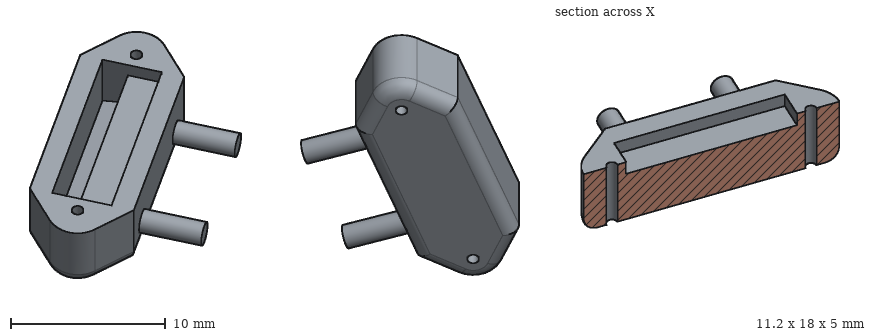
import cadquery as cq
import math

housing_length = 18.0
housing_width = 7.0
housing_height = 5.0
shoulder_length = 12.0
end_radius = 2.0
base_edge_radius = 1.0
screw_hole_diameter = 0.75

pocket_width = 4.0
pocket_length = shoulder_length
ledge_depth = 1.0
ledge_edge_x = -0.29
floor_thickness = 1.0
floor_slope = 10.8

pin_diameter = 1.58
pin_length = 4.18
pin_spacing = 8.0
pin_axis_z = 1.8

end_centre_y = housing_length / 2 - end_radius
half_width = housing_width / 2
half_shoulder = shoulder_length / 2


def taper_normal_angle():
    """Angle from +Y to the normal of a tapered side running from a shoulder tangent to the end arc."""
    centre_to_shoulder = math.hypot(half_width, half_shoulder - end_centre_y)
    shoulder_angle = math.atan2(half_width, half_shoulder - end_centre_y)
    return shoulder_angle - math.acos(end_radius / centre_to_shoulder)


def housing_outline():
    """Straight sides joined to round tips by tapers that meet each end arc tangentially."""
    normal_angle = taper_normal_angle()
    tangent_x = end_radius * math.sin(normal_angle)
    tangent_y = end_centre_y + end_radius * math.cos(normal_angle)
    return (
        cq.Workplane("XY")
        .moveTo(half_width, -half_shoulder)
        .lineTo(half_width, half_shoulder)
        .lineTo(tangent_x, tangent_y)
        .threePointArc((0, housing_length / 2), (-tangent_x, tangent_y))
        .lineTo(-half_width, half_shoulder)
        .lineTo(-half_width, -half_shoulder)
        .lineTo(-tangent_x, -tangent_y)
        .threePointArc((0, -housing_length / 2), (tangent_x, -tangent_y))
        .close()
    )


def pocket_space():
    """Space of the stepped pocket: its XZ section drawn out along Y."""
    wall_x = pocket_width / 2
    ledge_z = housing_height - ledge_depth
    floor_rise = (ledge_edge_x + wall_x) * math.tan(math.radians(floor_slope))
    return (
        cq.Workplane("XZ")
        .moveTo(-wall_x, housing_height)
        .lineTo(-wall_x, floor_thickness)
        .lineTo(ledge_edge_x, floor_thickness + floor_rise)
        .lineTo(ledge_edge_x, ledge_z)
        .lineTo(wall_x, ledge_z)
        .lineTo(wall_x, housing_height)
        .close()
        .extrude(pocket_length / 2, both=True)
    )


def screw_hole_space():
    """Through holes, concentric with the round ends."""
    return (
        cq.Workplane("XY")
        .pushPoints([(0, end_centre_y), (0, -end_centre_y)])
        .circle(screw_hole_diameter / 2)
        .extrude(housing_height)
    )


def make_housing():
    block = housing_outline().extrude(housing_height)
    rounded_block = block.faces("<Z").edges().fillet(base_edge_radius)
    return rounded_block.cut(pocket_space()).cut(screw_hole_space())


def make_pin(y):
    """Round pin standing out from the +X side of the housing."""
    return (
        cq.Workplane("YZ", origin=(half_width, y, pin_axis_z))
        .circle(pin_diameter / 2)
        .extrude(pin_length)
    )


housing = make_housing()

pins = []
for pin_y in (-pin_spacing / 2, pin_spacing / 2):
    pins.append(make_pin(pin_y))

result = cq.Compound.makeCompound([housing.val(), *[pin.val() for pin in pins]])